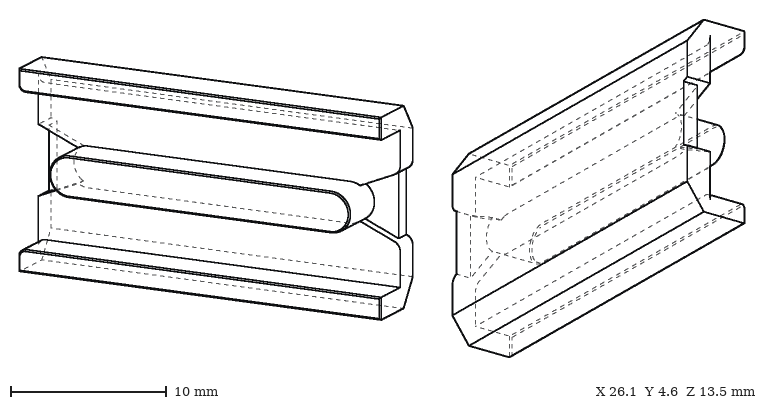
import cadquery as cq
import math

length = 26.1
depth = 4.6
height = 13.5

plate_thickness = 1.8
lip_thickness = 1.51
lip_corner_radius = 0.5
back_bevel_depth = 1.3
back_bevel_height = 1.8
tip_chamfer = 0.1

rib_length = 21.65
rib_width = 2.77

floor_thickness = 1.1
pocket_mouth_half_width = 2.4
pocket_side_angle = 22.8
left_notch_depth = 0.42
right_notch_depth = 0.47
right_mouth_radius = 0.68

half_length = length / 2
half_height = height / 2
lip_length = depth - plate_thickness
end_overrun = 1.3
corner_margin = 0.25


def make_plate():
    """Plate along X with its two long back corners bevelled."""
    bevel_start = half_height - back_bevel_height
    outline = [
        (0, -bevel_start),
        (0, bevel_start),
        (-back_bevel_depth, half_height),
        (-plate_thickness, half_height),
        (-plate_thickness, -half_height),
        (-back_bevel_depth, -half_height),
    ]
    return cq.Workplane("YZ").polyline(outline).close().extrude(half_length, both=True)


def make_lip(side):
    """Lip on the +Z (side = 1) or -Z (side = -1) edge, rounded at its inner -X corner."""
    inner_edge = "<Z" if side > 0 else ">Z"
    return (
        cq.Workplane("XY")
        .box(length, lip_length, lip_thickness)
        .translate((0, -plate_thickness - lip_length / 2, side * (half_height - lip_thickness / 2)))
        .faces("<X")
        .edges(inner_edge)
        .fillet(lip_corner_radius)
        .faces("<Y")
        .chamfer(tip_chamfer)
    )


def make_rib():
    """Round-ended rib standing on the pocket floors."""
    return (
        cq.Workplane("XZ", origin=(0, -floor_thickness, 0))
        .slot2D(rib_length, rib_width)
        .extrude(depth - floor_thickness)
        .faces("<Y")
        .chamfer(tip_chamfer)
    )


def cut_end_pocket(plate, end, notch_depth, mouth_radius):
    """Cut a tapered pocket and its through notch at the +X (end = 1) or -X (end = -1) end."""
    end_x = end * half_length
    outer_x = end * (half_length + end_overrun)
    taper_length = pocket_mouth_half_width / math.tan(math.radians(pocket_side_angle))
    outline = [
        (end_x - end * taper_length, 0),
        (end_x, pocket_mouth_half_width),
        (end_x, half_height),
        (outer_x, half_height),
        (outer_x, -half_height),
        (end_x, -half_height),
        (end_x, -pocket_mouth_half_width),
    ]
    wedge = cq.Workplane("XZ").polyline(outline).close().extrude(plate_thickness)
    if mouth_radius > 0:
        mouth_corners = cq.selectors.BoxSelector(
            (end_x - corner_margin, -plate_thickness, -pocket_mouth_half_width - corner_margin),
            (end_x + corner_margin, 0, pocket_mouth_half_width + corner_margin),
        )
        wedge = wedge.edges("|Y").edges(mouth_corners).fillet(mouth_radius)

    notch_length = notch_depth + end_overrun
    notch_zone = (
        cq.Workplane("XY")
        .box(notch_length, 2 * plate_thickness, height)
        .translate((outer_x - end * notch_length / 2, 0, 0))
    )
    floor_zone = (
        cq.Workplane("XY")
        .box(2 * length, floor_thickness, height)
        .translate((0, -floor_thickness / 2, 0))
    )
    return plate.cut(wedge.cut(floor_zone)).cut(wedge.intersect(notch_zone))


body = make_plate()
body = cut_end_pocket(body, -1, left_notch_depth, 0)
body = cut_end_pocket(body, 1, right_notch_depth, right_mouth_radius)
for lip_side in (1, -1):
    body = body.union(make_lip(lip_side))
result = body.union(make_rib())